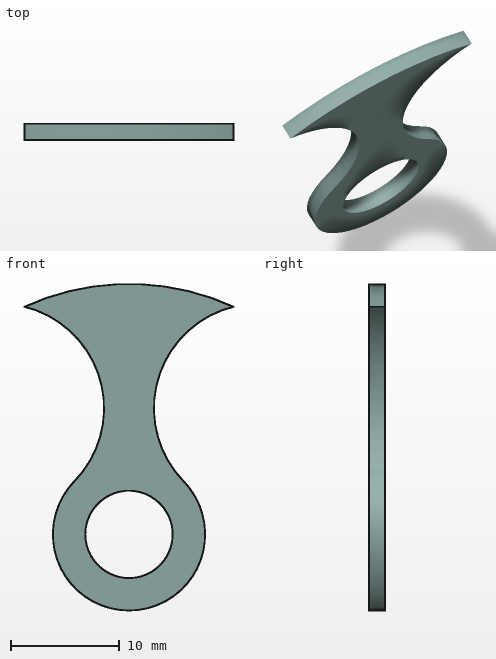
import cadquery as cq
import math

thickness = 1.5
hole_diameter = 8.0
ring_radius = 7.0
blade_radius = 23.0
waist_radius = 9.6
neck_width = 4.6

waist_distance = ring_radius + waist_radius
waist_x = neck_width / 2 + waist_radius
waist_z = math.sqrt(waist_distance**2 - waist_x**2)
waist_angle = math.atan2(waist_z, waist_x)

tip_offset = math.acos(
    (blade_radius**2 + waist_distance**2 - waist_radius**2)
    / (2 * blade_radius * waist_distance)
)
tip_angle = waist_angle + tip_offset


def polar(radius, angle):
    """Point at the given radius and angle about the ring centre."""
    return (radius * math.cos(angle), radius * math.sin(angle))


def mirrored(point):
    """The same point on the other side of the centreline."""
    return (-point[0], point[1])


def make_plate():
    """Solid plate: ring disc, narrow neck and flared blade."""
    tangent_point = polar(ring_radius, waist_angle)
    neck_point = (neck_width / 2, waist_z)
    tip = polar(blade_radius, tip_angle)
    outline = (
        cq.Workplane("XZ", origin=(0, thickness / 2, 0))
        .moveTo(*tip)
        .threePointArc((0, blade_radius), mirrored(tip))
        .threePointArc(mirrored(neck_point), mirrored(tangent_point))
        .threePointArc((0, -ring_radius), tangent_point)
        .threePointArc(neck_point, tip)
        .close()
    )
    return outline.extrude(thickness)


def cut_hole(plate):
    """Round hole through the ring."""
    return plate.faces("<Y").workplane(origin=(0, 0, 0)).hole(hole_diameter)


result = cut_hole(make_plate())